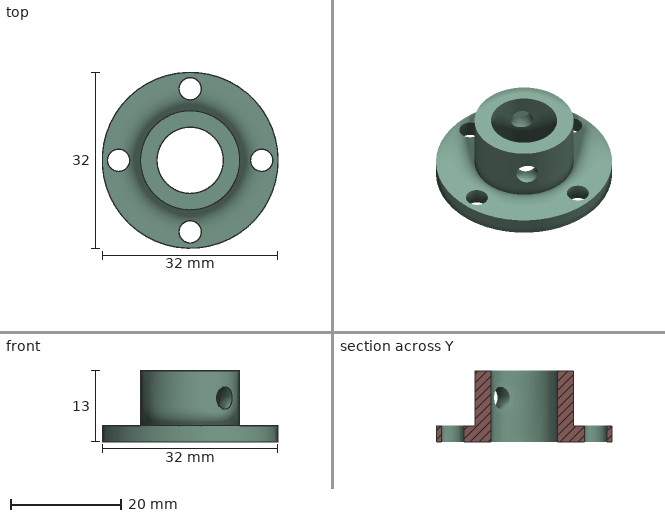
import cadquery as cq

flange_diameter = 32.0
flange_thickness = 3.0
hub_diameter = 18.0
hub_height = 10.0
bore_diameter = 12.0

bolt_hole_diameter = 4.0
bolt_hole_count = 4
bolt_circle_diameter = 26.0

cross_hole_diameter = 4.0
cross_hole_angle = -45.0

total_height = flange_thickness + hub_height
cross_hole_z = flange_thickness + hub_height / 2


def flanged_hub():
    """Round flange on the XY plane with a concentric hub standing on it."""
    flange = cq.Workplane("XY").circle(flange_diameter / 2).extrude(flange_thickness)
    hub = cq.Workplane("XY").circle(hub_diameter / 2).extrude(total_height)
    return flange.union(hub)


def bore():
    """Central bore through the full height."""
    return cq.Workplane("XY").circle(bore_diameter / 2).extrude(total_height)


def bolt_holes():
    """Through holes equally spaced on the flange, the first one on +X."""
    return (
        cq.Workplane("XY")
        .polarArray(bolt_circle_diameter / 2, 0, 360, bolt_hole_count)
        .circle(bolt_hole_diameter / 2)
        .extrude(flange_thickness)
    )


def cross_hole():
    """Diagonal hole at mid-height of the hub, passing through both of its walls."""
    return (
        cq.Workplane("YZ", origin=(0, 0, cross_hole_z))
        .circle(cross_hole_diameter / 2)
        .extrude(hub_diameter / 2, both=True)
        .rotate((0, 0, 0), (0, 0, 1), cross_hole_angle)
    )


result = flanged_hub().cut(bore()).cut(bolt_holes()).cut(cross_hole())